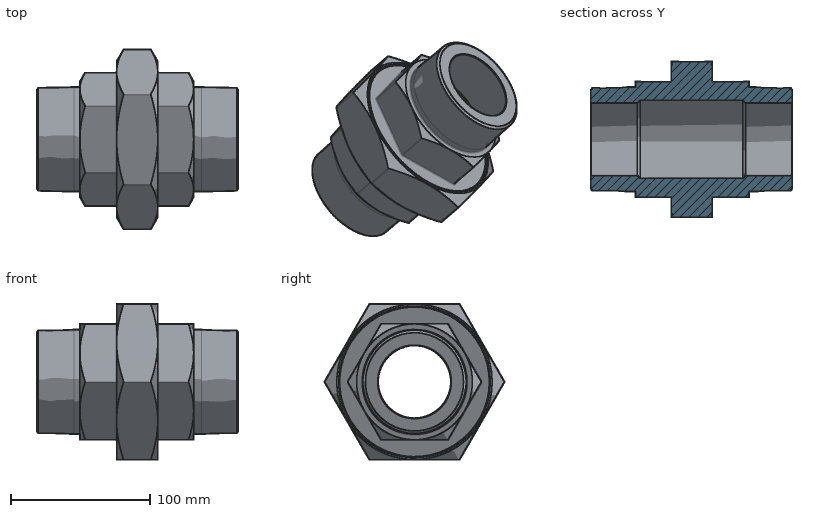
import cadquery as cq
import math

length = 145.0
left_wrench_face = 31.2
nut_left_face = 57.4
nut_right_face = 87.1
right_wrench_face = 112.8

nut_flats = 112.1
nut_face_diameter = 111.6
wrench_flats = 83.2
crown_angle = 30.0
edge_radius = 0.5

gap_inner_diameter = 107.5
gap_outer_diameter = 108.0
gap_chamfer_diameter = 108.9
gap_depth = 0.7

thread_root_diameter = 75.3
thread_tip_diameter = 74.2
thread_face_diameter = 70.5
thread_cone_length = 26.8
end_chamfer = 1.3

bore_diameter = 52.0
bore_chamfer = 0.5
chamber_diameter = 56.0
chamber_inset = 33.6


def revolve_profile(points):
    """Solid of revolution about the X axis from a closed outline of (x, radius) points."""
    return cq.Workplane("XY").polyline(points).close().revolve(360, (0, 0), (1, 0))


def crowned_hexagon(x_start, x_end, flats, face_diameter, crown_start=True, crown_end=True):
    """Hexagonal prism along X with rounded corners, turned off conically on the chosen end faces."""
    face_radius = face_diameter / 2
    corner_radius = flats / 2 / math.cos(math.pi / 6)
    crown_depth = (corner_radius - face_radius) * math.tan(math.radians(crown_angle))
    prism = (
        cq.Workplane("YZ", origin=(x_start, 0, 0))
        .polygon(6, 2 * corner_radius)
        .extrude(x_end - x_start)
        .edges("|X")
        .fillet(edge_radius)
    )
    start_radius = face_radius if crown_start else corner_radius
    end_radius = face_radius if crown_end else corner_radius
    envelope = revolve_profile([
        (x_start, 0),
        (x_start, start_radius),
        (x_start + crown_depth, corner_radius),
        (x_end - crown_depth, corner_radius),
        (x_end, end_radius),
        (x_end, 0),
    ])
    return prism.intersect(envelope)


def threaded_core():
    """Round core over the full length with a tapered thread cone and lead-in chamfer at each end."""
    root_radius = thread_root_diameter / 2
    tip_radius = thread_tip_diameter / 2
    face_radius = thread_face_diameter / 2
    return revolve_profile([
        (0, 0),
        (0, face_radius),
        (end_chamfer, tip_radius),
        (thread_cone_length, root_radius),
        (length - thread_cone_length, root_radius),
        (length - end_chamfer, tip_radius),
        (length, face_radius),
        (length, 0),
    ])


def bore():
    """Through bore with chamfered mouths that widens at 45 degrees into the middle chamber."""
    bore_radius = bore_diameter / 2
    chamber_radius = chamber_diameter / 2
    mouth_radius = bore_radius + bore_chamfer
    chamber_start = chamber_inset + chamber_radius - bore_radius
    return revolve_profile([
        (0, 0),
        (0, mouth_radius),
        (bore_chamfer, bore_radius),
        (chamber_inset, bore_radius),
        (chamber_start, chamber_radius),
        (length - chamber_start, chamber_radius),
        (length - chamber_inset, bore_radius),
        (length - bore_chamfer, bore_radius),
        (length, mouth_radius),
        (length, 0),
    ])


def nut_gap(face_x, inward):
    """Annular gap cut into a nut face; inward is +1 or -1 along X, pointing into the nut."""
    chamfer = (gap_chamfer_diameter - gap_outer_diameter) / 2
    floor_x = face_x + inward * gap_depth
    return revolve_profile([
        (face_x, gap_inner_diameter / 2),
        (face_x, gap_chamfer_diameter / 2),
        (face_x + inward * chamfer, gap_outer_diameter / 2),
        (floor_x, gap_outer_diameter / 2),
        (floor_x, gap_inner_diameter / 2),
    ])


def round_inside_corner(solid, face_x, reach):
    """Fillet the edges in the plane x = face_x that lie within the given radial reach."""
    slack = edge_radius / 10
    near = (face_x - slack, -reach, -reach)
    far = (face_x + slack, reach, reach)
    return solid.edges(cq.selectors.BoxSelector(near, far, boundingbox=True)).fillet(edge_radius)


nut_middle = (nut_left_face + nut_right_face) / 2
left_wrench = crowned_hexagon(left_wrench_face, nut_middle, wrench_flats, wrench_flats, crown_end=False)
right_wrench = crowned_hexagon(nut_middle, right_wrench_face, wrench_flats, wrench_flats, crown_start=False)
nut = crowned_hexagon(nut_left_face, nut_right_face, nut_flats, nut_face_diameter)
result = nut.union(left_wrench).union(right_wrench).union(threaded_core())

wrench_reach = gap_inner_diameter / 2
thread_reach = (thread_root_diameter + wrench_flats) / 4
for nut_face in (nut_left_face, nut_right_face):
    result = round_inside_corner(result, nut_face, wrench_reach)
for wrench_face in (left_wrench_face, right_wrench_face):
    result = round_inside_corner(result, wrench_face, thread_reach)

result = result.cut(nut_gap(nut_left_face, 1)).cut(nut_gap(nut_right_face, -1))
result = result.cut(bore())